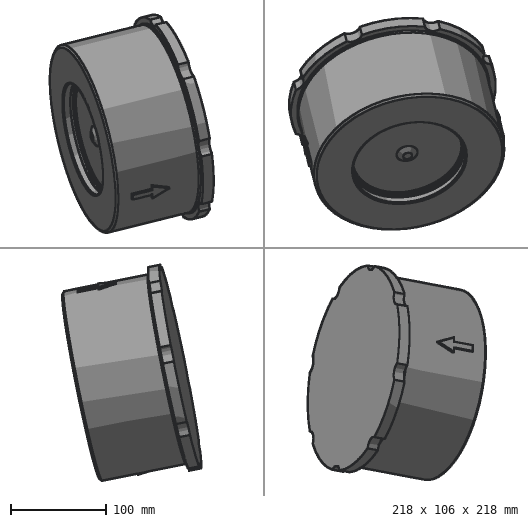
import cadquery as cq
import math


flange_radius = 109.0
flange_thickness = 12.0
total_length = 106.0
body_radius = 101.4
front_chamfer_length = 2.2
front_chamfer_depth = 2.6
neck_length = 2.2
neck_rise = 1.0
flange_front = total_length - flange_thickness

mouth_radius = 61.0
mouth_chamfer = 1.3
bore_depth = 8.3
ledge_radius = 58.9
ledge_depth = 11.1
seat_radius = 57.8
seat_depth = 12.2
disc_depth = 14.2
bore_radius = mouth_radius - mouth_chamfer

knob_radius = 11.1
knob_top_radius = 4.8
knob_height = 3.7
knob_rim_height = 0.7
knob_rim_inset = 0.7

notch_count = 8
notch_radius = 11.0
notch_floor_radius = 104.2
notch_center_radius = notch_floor_radius + notch_radius

arrow_reach = 103.5
arrow_tip = total_length - 47.7
arrow_shoulder = total_length - 66.5
arrow_tail = total_length - 89.2
arrow_head_half_width = 8.3
arrow_shaft_half_width = 3.3
arrow_root = body_radius - 2.2
arrow_tail_slope = 0.9


def make_body():
    """Revolve the solid body with its flange, front bore and knob."""
    profile = (
        cq.Workplane("XY")
        .moveTo(0, disc_depth - knob_height)
        .lineTo(knob_top_radius, disc_depth - knob_height)
        .lineTo(knob_radius - knob_rim_inset, disc_depth - knob_rim_height)
        .lineTo(knob_radius, disc_depth)
        .lineTo(seat_radius, disc_depth)
        .lineTo(seat_radius, seat_depth)
        .lineTo(ledge_radius, ledge_depth)
        .lineTo(ledge_radius, bore_depth)
        .lineTo(bore_radius, bore_depth)
        .lineTo(bore_radius, mouth_chamfer)
        .lineTo(mouth_radius, 0)
        .lineTo(body_radius - front_chamfer_depth, 0)
        .lineTo(body_radius, front_chamfer_length)
        .lineTo(body_radius, flange_front - neck_length)
        .lineTo(body_radius + neck_rise, flange_front)
        .lineTo(flange_radius, flange_front)
        .lineTo(flange_radius, total_length)
        .lineTo(0, total_length)
        .close()
    )
    return profile.revolve(360, (0, 0, 0), (0, 1, 0))


def make_notches():
    """Cylinders that scallop the flange rim, placed midway between the axes."""
    pitch = 360 / notch_count
    centers = []
    for index in range(notch_count):
        angle = math.radians((index + 0.5) * pitch)
        centers.append((notch_center_radius * math.cos(angle), notch_center_radius * math.sin(angle)))
    return (
        cq.Workplane("XZ", origin=(0, total_length, 0))
        .pushPoints(centers)
        .circle(notch_radius)
        .extrude(flange_thickness)
    )


def make_arrow():
    """Raised flat arrow on the +X side, pointing toward the flange."""
    outline = [
        (arrow_tip, 0),
        (arrow_shoulder, arrow_head_half_width),
        (arrow_shoulder, arrow_shaft_half_width),
        (arrow_tail, arrow_shaft_half_width),
        (arrow_tail, -arrow_shaft_half_width),
        (arrow_shoulder, -arrow_shaft_half_width),
        (arrow_shoulder, -arrow_head_half_width),
    ]
    blank = (
        cq.Workplane("YZ", origin=(arrow_root, 0, 0))
        .polyline(outline)
        .close()
        .extrude(arrow_reach - arrow_root)
    )
    tail_wedge = (
        cq.Workplane("XY")
        .moveTo(body_radius, arrow_tail)
        .lineTo(arrow_reach, arrow_tail)
        .lineTo(arrow_reach, arrow_tail + arrow_tail_slope)
        .close()
        .extrude(arrow_shaft_half_width, both=True)
    )
    return blank.cut(tail_wedge)


arrow = make_arrow()
result = make_body().cut(make_notches()).union(arrow).union(arrow.mirror("YZ"))